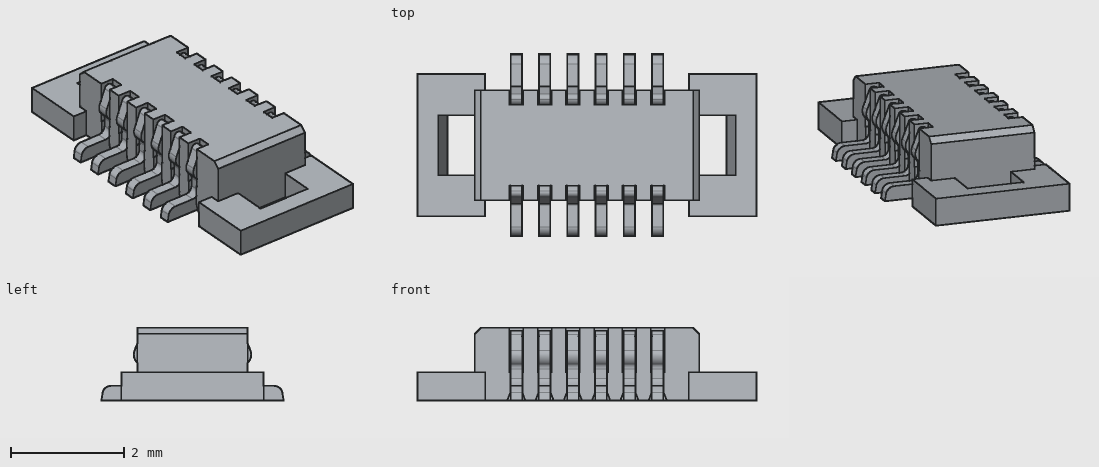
import cadquery as cq

body_length = 3.97
body_width = 1.95
body_height = 1.29
end_chamfer = 0.11

overall_length = 6.0
flange_length = 1.2
flange_width = 2.52
flange_height = 0.505

window_width = 1.055
window_rim_top = 0.365
window_taper = 0.17

contacts_per_side = 6
contact_span = 2.5
contact_width = 0.205
pocket_depth = 0.26
pocket_upper_width = 0.245
pocket_lower_width = 0.22
pocket_mouth_width = 0.325
pocket_mouth_height = 0.13

overall_width = 3.23
foot_tip_draft = 0.025
foot_tip_height = 0.15
foot_round = 0.15
foot_height = 0.265
stem_face = 0.92
stem_fillet = 0.13
bulge_bottom = 0.565
bulge_root = (0.96, 0.655)
bulge_top = (1.025, 0.89)
crown_outer = (0.91, 1.175)
crown_top = (0.87, 1.23)
crown_inner = (0.81, 1.235)
crown_tail_round = (0.755, 1.205)
crown_tail_height = 1.14

body_end = body_length / 2
body_side = body_width / 2
overall_end = overall_length / 2
pocket_wall = body_side - pocket_depth
embed = 0.03
contact_pitch = contact_span / (contacts_per_side - 1)
contact_positions = [i * contact_pitch - contact_span / 2 for i in range(contacts_per_side)]


def make_block(length, width, height, x_start=None):
    """Block standing on Z = 0, centred on Y; centred on X unless x_start is given."""
    x_min = -length / 2 if x_start is None else x_start
    return cq.Workplane("XY").box(length, width, height, centered=False).translate((x_min, -width / 2, 0))


def make_body():
    block = make_block(body_length, body_width, body_height)
    return block.faces(">Z").edges("|Y").chamfer(end_chamfer)


def make_flange():
    """Flange at the +X end, with its window still unpierced."""
    return make_block(flange_length, flange_width, flange_height, overall_end - flange_length)


def make_window():
    """Window at the +X end; its outer wall leans outwards towards the top."""
    outer_top = overall_end - window_rim_top
    outline = [
        (body_end, 0),
        (outer_top - window_taper, 0),
        (outer_top, flange_height),
        (body_end, flange_height),
    ]
    return cq.Workplane("XZ").polyline(outline).close().extrude(window_width / 2, both=True)


def make_pocket():
    """Stepped pocket in the +Y side, flared at the bottom mouth."""
    upper = pocket_upper_width / 2
    lower = pocket_lower_width / 2
    mouth = pocket_mouth_width / 2
    right_half = [
        (mouth, 0),
        (lower, pocket_mouth_height),
        (lower, flange_height),
        (upper, flange_height),
        (upper, body_height),
    ]
    left_half = [(-x, z) for x, z in reversed(right_half)]
    outline = cq.Workplane("XZ").polyline(right_half + left_half).close()
    return outline.extrude(-pocket_depth).translate((0, pocket_wall, 0))


def make_contact():
    """Contact on the +Y side: foot, stem, bulge and rounded crown, backed by the pocket wall."""
    foot_end = overall_width / 2
    tip_top = foot_end - foot_tip_draft
    back = pocket_wall - embed
    profile = (
        cq.Workplane("YZ")
        .moveTo(back, 0)
        .lineTo(back, crown_tail_height)
        .lineTo(pocket_wall, crown_tail_height)
        .threePointArc(crown_tail_round, crown_inner)
        .threePointArc(crown_top, crown_outer)
        .lineTo(*bulge_top)
        .tangentArcPoint(bulge_root, relative=False)
        .tangentArcPoint((stem_face, bulge_bottom), relative=False)
        .lineTo(stem_face, foot_height + stem_fillet)
        .tangentArcPoint((stem_face + stem_fillet, foot_height), relative=False)
        .lineTo(tip_top - foot_round, foot_height)
        .tangentArcPoint((tip_top, foot_tip_height), relative=False)
        .lineTo(foot_end, 0)
        .close()
    )
    return profile.extrude(contact_width / 2, both=True)


def on_both_sides(feature):
    """Repeat a +Y side feature at every contact position along both sides."""
    copies = []
    for x in contact_positions:
        placed = feature.translate((x, 0, 0))
        copies += [placed, placed.mirror("XZ")]
    return copies


result = make_body()

flange = make_flange()
window = make_window()
result = result.union(flange).union(flange.mirror("YZ"))
result = result.cut(window).cut(window.mirror("YZ"))

for pocket in on_both_sides(make_pocket()):
    result = result.cut(pocket)

for contact in on_both_sides(make_contact()):
    result = result.union(contact)